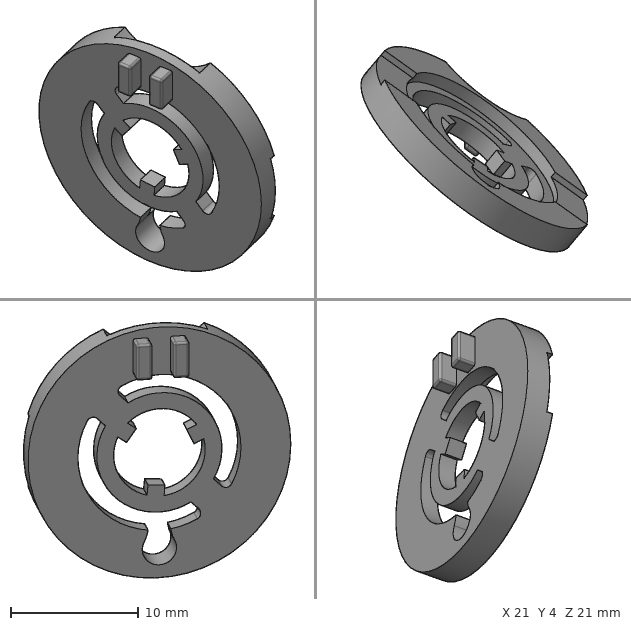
import cadquery as cq
import math

disc_radius = 10.5
disc_thickness = 2.5
web_thickness = 1.5
recess_radius = 7.5

hub_bore_radius = 3.65
slot_inner_radius = 5.0
slot_outer_radius = 6.5
bridge_width = 2.56
bridge_angle = 135
slot_corner_radius = 0.5

tab_count = 3
tab_first_angle = 25
tab_width = 1.36
tab_tip_radius = 2.73

keyhole_radius = 1.36
keyhole_center_z = -8.05
neck_half_width = 0.9
neck_flare_half_width = 1.25
neck_curve_half_width = 1.03
neck_curve_z = -6.97

side_notch_width = 6.05
side_notch_depth = 0.5
top_notch_half_width = 4.03
top_notch_radius = 5.78
top_notch_depth = 1.51

peg_width = 1.24
peg_height = 2.98
peg_length = 1.5
peg_spacing = 2.96
peg_center_z = 8.17
peg_edge_radius = 0.19


def front_plane(y=0.0):
    """XZ sketch plane at the given Y; positive extrusion runs toward -Y."""
    return cq.Workplane("XZ", origin=(0, y, 0))


def cylinder(radius, start_y, end_y, x=0.0, z=0.0):
    return front_plane(start_y).center(x, z).circle(radius).extrude(start_y - end_y)


def make_slots():
    ring = cylinder(slot_outer_radius, 0, web_thickness)
    ring = ring.cut(cylinder(slot_inner_radius, 0, web_thickness))
    bridge = (
        front_plane()
        .rect(2 * disc_radius, bridge_width)
        .extrude(-web_thickness)
        .rotate((0, 0, 0), (0, 1, 0), -bridge_angle)
    )
    slots = ring.cut(bridge)
    middle_radius = (slot_inner_radius + slot_outer_radius) / 2
    corners = [
        edge
        for edge in slots.edges("|Y").vals()
        if math.hypot(edge.Center().x, edge.Center().z) > middle_radius
    ]
    return slots.newObject(corners).fillet(slot_corner_radius)


def make_keyhole():
    flare_z = keyhole_center_z + math.sqrt(keyhole_radius**2 - neck_flare_half_width**2)
    neck_top_z = -math.sqrt(slot_outer_radius**2 - neck_half_width**2)
    neck = (
        front_plane()
        .moveTo(-neck_half_width, neck_top_z)
        .threePointArc((-neck_curve_half_width, neck_curve_z), (-neck_flare_half_width, flare_z))
        .lineTo(neck_flare_half_width, flare_z)
        .threePointArc((neck_curve_half_width, neck_curve_z), (neck_half_width, neck_top_z))
        .threePointArc((0, -slot_outer_radius), (-neck_half_width, neck_top_z))
        .close()
        .extrude(-disc_thickness)
    )
    throat_height = (slot_outer_radius - slot_inner_radius) / 2
    throat = (
        front_plane()
        .center(0, neck_top_z + throat_height / 2)
        .rect(2 * neck_half_width, throat_height)
        .extrude(-disc_thickness)
    )
    return neck.union(throat).union(cylinder(keyhole_radius, 0, disc_thickness, z=keyhole_center_z))


def make_tab(angle):
    mid_radius = (slot_inner_radius + hub_bore_radius) / 2
    tab_length = mid_radius - tab_tip_radius
    return (
        front_plane()
        .center(tab_tip_radius + tab_length / 2, 0)
        .rect(tab_length, tab_width)
        .extrude(-web_thickness)
        .rotate((0, 0, 0), (0, 1, 0), -angle)
    )


def make_peg(x):
    return (
        cq.Workplane("XY")
        .box(peg_width, peg_length, peg_height)
        .edges("<Y or |Y")
        .fillet(peg_edge_radius)
        .translate((x, -peg_length / 2, peg_center_z))
    )


def make_side_notches():
    return cq.Workplane("XY").box(2 * disc_radius, side_notch_depth, side_notch_width).translate(
        (0, disc_thickness - side_notch_depth / 2, 0)
    )


def make_top_notch():
    rim_z = math.sqrt(disc_radius**2 - top_notch_half_width**2)
    center_z = rim_z + math.sqrt(top_notch_radius**2 - top_notch_half_width**2)
    return cylinder(top_notch_radius, disc_thickness - top_notch_depth, disc_thickness, z=center_z)


result = cylinder(disc_radius, 0, disc_thickness)
result = result.cut(cylinder(recess_radius, web_thickness, disc_thickness))
result = result.cut(cylinder(hub_bore_radius, 0, web_thickness))
result = result.cut(make_slots())
result = result.cut(make_keyhole())
result = result.cut(make_side_notches())
result = result.cut(make_top_notch())

for index in range(tab_count):
    result = result.union(make_tab(tab_first_angle + index * 360 / tab_count))

for side in (-1, 1):
    result = result.union(make_peg(side * peg_spacing / 2))